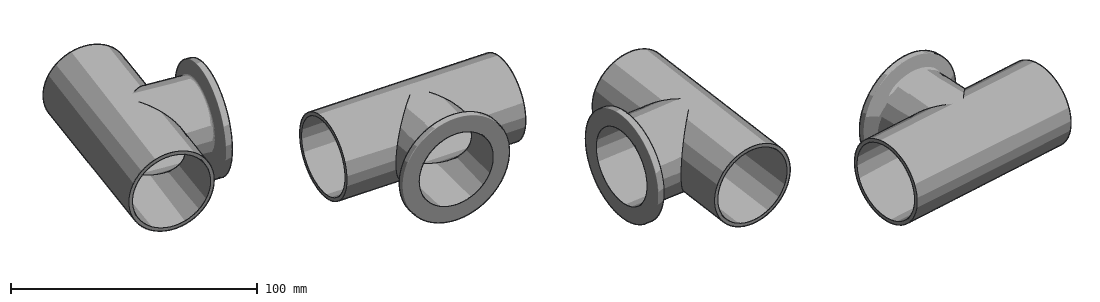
import cadquery as cq
import math

run_length = 84.1
tube_diameter = 38.1
bore_diameter = 34.8
tube_radius = tube_diameter / 2
bore_radius = bore_diameter / 2

overall_width = 54.0
ferrule_length = 12.7
flange_face = overall_width - tube_radius
weld_joint = flange_face - ferrule_length

flange_diameter = 50.4
flange_radius = flange_diameter / 2
rim_thickness = 2.95
rim_round = 0.25
cone_angle = 20.0
neck_fillet = 1.1
rim_back = flange_face - rim_thickness
cone_depth = (flange_radius - tube_radius) * math.tan(math.radians(cone_angle))
neck = rim_back - cone_depth


def run_cylinder(radius):
    """Cylinder along X over the full length of the run."""
    return cq.Workplane("YZ").circle(radius).extrude(run_length / 2, both=True)


def branch_cylinder(radius, reach):
    """Cylinder from the run axis out along +Y."""
    return cq.Workplane("XZ").circle(radius).extrude(-reach)


def make_ferrule():
    """Solid clamp ferrule turned about Y, from the weld joint to the flange face."""
    blank = (
        cq.Workplane("XY")
        .moveTo(0, weld_joint)
        .lineTo(tube_radius, weld_joint)
        .lineTo(tube_radius, neck)
        .lineTo(flange_radius, rim_back)
        .lineTo(flange_radius, flange_face)
        .lineTo(0, flange_face)
        .close()
        .revolve(360, (0, 0, 0), (0, 1, 0))
    )
    smallest_circles = cq.selectors.RadiusNthSelector(0)
    largest_circles = cq.selectors.RadiusNthSelector(-1)
    necked = blank.edges("%CIRCLE").edges(smallest_circles).edges(">Y").fillet(neck_fillet)
    return necked.edges("%CIRCLE").edges(largest_circles).fillet(rim_round)


tee = run_cylinder(tube_radius).union(branch_cylinder(tube_radius, weld_joint))
body = tee.union(make_ferrule(), clean=False)

bores = run_cylinder(bore_radius).union(branch_cylinder(bore_radius, flange_face))
result = body.cut(bores, clean=False)